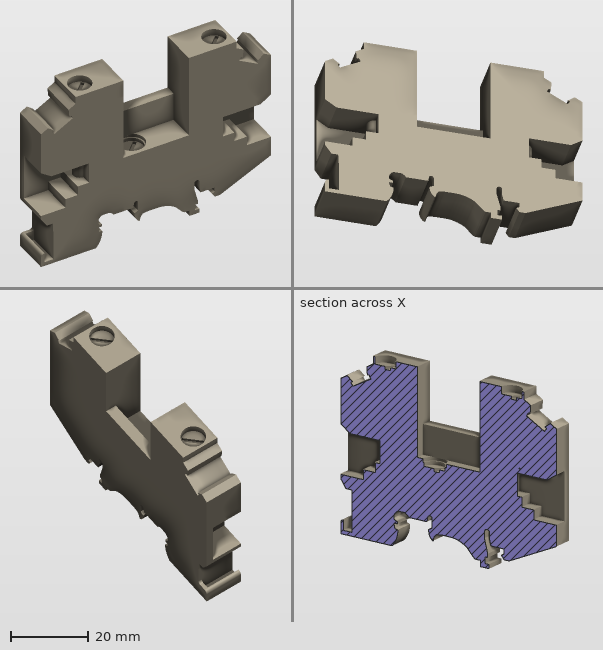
import cadquery as cq
import math

THICKNESS = 10.95
LENGTH = 68.9
HEIGHT = 50.85
END = LENGTH / 2

NOTCH_HALF = 9.8
NOTCH_FLOOR = 34.4
NOTCH_WALL = 3.1
NOTCH_PIT_FLOOR = 26.0

TOWER_SIDE = 24.1
TOWER_STEP = 48.7
HOOK_SIDE = 26.2
HOOK_TOP = 47.5
HOOK_TIP = (-25.95, 45.05)
HOOK_ROOF = (-25.45, 45.4)
SEAT_INNER = (-24.9, 44.4)
SEAT_OUTER = (-30.45, 41.35)
LIP_ROOT = (-31.1, 42.2)
LIP_TIP = (-30.5, 42.5)
LIP_PEAK = 32.35
LIP_TOP = 43.9
END_TOP = 42.7

SCREW_X = 6.15
CLAMP_SCREW_Y = 20.1
SCREW_RADIUS = 3.3
SCREW_SINK = 2.0
DRIVE_WIDTH = 1.05
DRIVE_LENGTH = 6.1
DRIVE_DEPTH = 0.8
DRIVE_ANGLE = -45
CENTER_SCREW_Y = -4.5
CENTER_BORE_RADIUS = 3.75
CENTER_STEP = 1.0

ENTRY_WALL = 2.05
ENTRY_FLOOR = 16.4
ENTRY_STEP = 2.72
ENTRY_TOP = 30.15
ENTRY_CEILING_DROP = 2.1
ENTRY_CEILING_RUN = 3.1
FIRST_STEP_DEPTH = 7.3
SECOND_STEP_DEPTH = 11.0
SHANK_RADIUS = 2.0
ENTRY_DEPTH = END - CLAMP_SCREW_Y

FOOT_SLOT_WALL = 30.8
FOOT_SLOT_TOP = 12.7
FOOT_SLOT_BEND = 10.0
FOOT_SLOT_LEAN = 0.15
FOOT_CHAMFER_RUN = 1.7
FOOT_CHAMFER_TOP = 15.15
FOOT_TOP = 4.05
LIP_ROUND = 1.0
CORNER_ROUND = 0.8
FOOT_WEB = 1.05
FOOT_LIP = 1.05
GROOVE_FLOOR = 1.2

FAR_CORNER = 10.5
SLOPE_FOOT = (19.2, 3.4)
CATCH_SIDE = 17.55
CATCH_TIP = (16.7, 4.6)
CATCH_TOP = 5.0
CATCH_ROOF = 6.35
LEG_SLOT_OUTER = 12.95
LEG_SLOT_INNER = 11.45
LEG_SLOT_SPRING = 9.9
LEG_NECK = 11.65
LEG_STEP = 2.95
TOE_TOP = 1.27
TOE_BACK = 10.0
TOE_LEDGE = 1.72
ARCH_TOP = 6.15
HOOK_SLOT_SIDE = 5.37
HOOK_OUTER = 6.45
CLIP_SLOT_TOP = 10.65
RECESS_TOP = 9.9
RECESS_LEDGE = 16.25
RECESS_SIDE = 17.4
RAIL_SEAT = 8.85


def prism(outline, x_start=0.0):
    """Extrude a closed YZ outline from x_start to the +X face."""
    return outline.close().extrude(THICKNESS - x_start)


def yz(x_start=0.0):
    return cq.Workplane("YZ", origin=(x_start, 0, 0))


def both_ends(shape):
    """The shape together with its mirror image at the other end."""
    return shape.union(shape.mirror("XZ"))


def block():
    return cq.Workplane("XY").box(THICKNESS, LENGTH, HEIGHT, centered=(False, True, False))


def notch():
    """Open gap between the towers, with a deeper pit behind the thin wall."""
    width = 2 * NOTCH_HALF
    gap = cq.Workplane("XY", origin=(0, 0, NOTCH_FLOOR))
    gap = gap.box(THICKNESS, width, HEIGHT - NOTCH_FLOOR, centered=(False, True, False))
    pit = cq.Workplane("XY", origin=(NOTCH_WALL, 0, NOTCH_PIT_FLOOR))
    pit = pit.box(THICKNESS - NOTCH_WALL, width, HEIGHT - NOTCH_PIT_FLOOR, centered=(False, True, False))
    return gap.union(pit)


def shoulder():
    """Material removed outside a tower: hook, sloped seat and end lip."""
    outline = (
        yz()
        .moveTo(-TOWER_SIDE, HEIGHT)
        .lineTo(-TOWER_SIDE, TOWER_STEP)
        .lineTo(-HOOK_SIDE, HOOK_TOP)
        .lineTo(*HOOK_TIP)
        .lineTo(*HOOK_ROOF)
        .lineTo(*SEAT_INNER)
        .lineTo(*SEAT_OUTER)
        .lineTo(*LIP_ROOT)
        .lineTo(*LIP_TIP)
        .lineTo(-LIP_PEAK, LIP_TOP)
        .lineTo(-END, END_TOP)
        .lineTo(-END, HEIGHT)
    )
    return prism(outline)


def underside():
    """Space below the body: sloped end, clip slots, rail seat and rail hooks."""
    leg_slot_middle = (LEG_SLOT_OUTER + LEG_SLOT_INNER) / 2
    outline = (
        yz()
        .moveTo(END, 0)
        .lineTo(END, FAR_CORNER)
        .lineTo(*SLOPE_FOOT)
        .lineTo(CATCH_SIDE, SLOPE_FOOT[1])
        .lineTo(*CATCH_TIP)
        .lineTo(CATCH_SIDE, CATCH_TOP)
        .lineTo(CATCH_SIDE, CATCH_ROOF)
        .lineTo(13.35, CATCH_ROOF)
        .lineTo(LEG_SLOT_OUTER, 8.0)
        .lineTo(LEG_SLOT_OUTER, LEG_SLOT_SPRING)
        .threePointArc((leg_slot_middle, CLIP_SLOT_TOP), (LEG_SLOT_INNER, LEG_SLOT_SPRING))
        .lineTo(LEG_SLOT_INNER, 8.1)
        .lineTo(12.5, 4.0)
        .lineTo(12.5, LEG_STEP)
        .lineTo(LEG_NECK, LEG_STEP)
        .lineTo(LEG_NECK, TOE_TOP)
        .lineTo(LEG_SLOT_OUTER, TOE_TOP)
        .lineTo(LEG_SLOT_OUTER, 0)
        .lineTo(TOE_BACK, 0)
        .lineTo(TOE_BACK, TOE_LEDGE)
        .lineTo(8.5, TOE_LEDGE)
        .lineTo(8.05, 1.95)
        .lineTo(5.7, 4.45)
        .threePointArc((2.9, 5.8), (0, ARCH_TOP))
        .lineTo(-2.4, ARCH_TOP)
        .lineTo(-4.0, 5.9)
        .threePointArc((-4.6, 5.1), (-4.8, 4.1))
        .lineTo(-5.1, 3.95)
        .threePointArc((-6.1, 5.1), (-HOOK_OUTER, 6.3))
        .lineTo(-HOOK_OUTER, 6.95)
        .lineTo(-HOOK_SLOT_SIDE, 7.5)
        .lineTo(-HOOK_SLOT_SIDE, 10.0)
        .threePointArc((-6.0, CLIP_SLOT_TOP), (-6.65, 10.0))
        .lineTo(-6.85, RAIL_SEAT)
        .lineTo(-12.8, RAIL_SEAT)
        .threePointArc((-13.3, 9.45), (-14.0, RECESS_TOP))
        .lineTo(-16.1, RECESS_TOP)
        .threePointArc((-17.05, 9.1), (-RECESS_SIDE, 7.8))
        .threePointArc((-17.0, 7.3), (-RECESS_LEDGE, 7.15))
        .lineTo(-RECESS_LEDGE, CATCH_ROOF)
        .lineTo(-RECESS_SIDE, CATCH_ROOF)
        .lineTo(-17.05, 5.05)
        .lineTo(-16.1, 4.8)
        .threePointArc((-16.6, 2.2), (-18.0, 0))
    )
    return prism(outline)


def foot_slot():
    """Slot above the foot in the -Y end, chamfered above and rounded at the lip."""
    wall_top = -FOOT_SLOT_WALL - FOOT_SLOT_LEAN
    diagonal = math.cos(math.pi / 4)
    lip_center_y = -END + LIP_ROUND
    lip_center_z = FOOT_TOP - LIP_ROUND
    lip_mid = (lip_center_y - LIP_ROUND * diagonal, lip_center_z + LIP_ROUND * diagonal)
    corner_y = -FOOT_SLOT_WALL - CORNER_ROUND
    corner_z = FOOT_TOP + CORNER_ROUND
    corner_mid = (corner_y + CORNER_ROUND * diagonal, corner_z - CORNER_ROUND * diagonal)
    outline = (
        yz()
        .moveTo(-END, FOOT_CHAMFER_TOP)
        .lineTo(-END + FOOT_CHAMFER_RUN, FOOT_SLOT_TOP)
        .lineTo(wall_top, FOOT_SLOT_TOP)
        .lineTo(-FOOT_SLOT_WALL, FOOT_SLOT_BEND)
        .lineTo(-FOOT_SLOT_WALL, corner_z)
        .threePointArc(corner_mid, (corner_y, FOOT_TOP))
        .lineTo(lip_center_y, FOOT_TOP)
        .threePointArc(lip_mid, (-END, lip_center_z))
    )
    return prism(outline)


def foot_groove():
    """Groove between the lip and the slot wall, closed by a web at the -X side."""
    lip_back = -END + FOOT_LIP
    outline = (
        yz(FOOT_WEB)
        .moveTo(-FOOT_SLOT_WALL, FOOT_TOP + CORNER_ROUND)
        .lineTo(-FOOT_SLOT_WALL, GROOVE_FLOOR)
        .lineTo(lip_back, GROOVE_FLOOR)
        .lineTo(lip_back, FOOT_TOP + CORNER_ROUND)
    )
    return prism(outline, FOOT_WEB)


def wire_entry():
    """Stepped pocket with a sloping ceiling, around the clamp screw shank."""
    first_step = ENTRY_FLOOR + ENTRY_STEP
    second_step = first_step + ENTRY_STEP
    ceiling = ENTRY_TOP - ENTRY_CEILING_DROP
    outline = (
        yz(ENTRY_WALL)
        .moveTo(-END, ENTRY_FLOOR)
        .lineTo(-END + FIRST_STEP_DEPTH, ENTRY_FLOOR)
        .lineTo(-END + FIRST_STEP_DEPTH, first_step)
        .lineTo(-END + SECOND_STEP_DEPTH, first_step)
        .lineTo(-END + SECOND_STEP_DEPTH, second_step)
        .lineTo(-END + ENTRY_DEPTH, second_step)
        .lineTo(-END + ENTRY_DEPTH, ceiling)
        .lineTo(-END + ENTRY_CEILING_RUN, ceiling)
        .lineTo(-END, ENTRY_TOP)
    )
    shank = cq.Workplane("XY", origin=(SCREW_X, -CLAMP_SCREW_Y, second_step))
    shank = shank.circle(SHANK_RADIUS).extrude(ceiling - second_step)
    return prism(outline, ENTRY_WALL).cut(shank)


def sunk_screw(y, top):
    """Round recess below the given height with a slanted drive slot in its floor."""
    head = top - SCREW_SINK
    recess = cq.Workplane("XY", origin=(SCREW_X, y, head)).circle(SCREW_RADIUS).extrude(SCREW_SINK)
    drive = (
        cq.Workplane("XY", origin=(SCREW_X, y, head - DRIVE_DEPTH))
        .transformed(rotate=(0, 0, DRIVE_ANGLE))
        .rect(DRIVE_LENGTH, DRIVE_WIDTH)
        .extrude(DRIVE_DEPTH)
    )
    return recess.union(drive)


def center_screw():
    """Stepped screw recess in the pit floor."""
    bore = cq.Workplane("XY", origin=(SCREW_X, CENTER_SCREW_Y, NOTCH_PIT_FLOOR - CENTER_STEP))
    bore = bore.circle(CENTER_BORE_RADIUS).extrude(CENTER_STEP)
    return bore.union(sunk_screw(CENTER_SCREW_Y, NOTCH_PIT_FLOOR))


result = (
    block()
    .cut(notch())
    .cut(both_ends(shoulder()))
    .cut(underside())
    .cut(foot_slot())
    .cut(foot_groove())
    .cut(both_ends(wire_entry()))
    .cut(sunk_screw(-CLAMP_SCREW_Y, HEIGHT))
    .cut(sunk_screw(CLAMP_SCREW_Y, HEIGHT))
    .cut(center_screw())
)